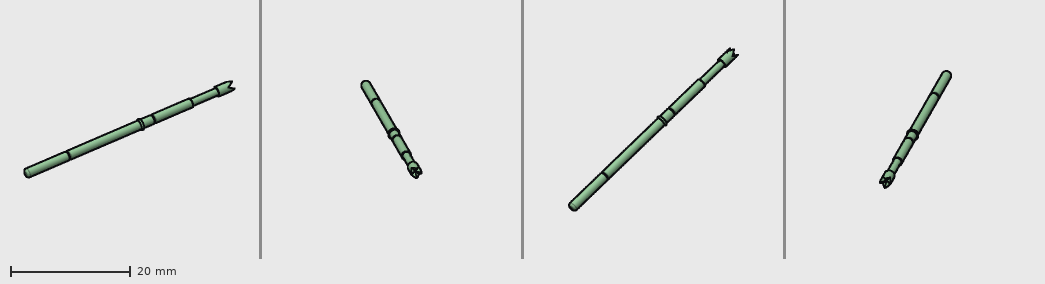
import cadquery as cq
import math

length = 40.0
y_rear = -length / 2
y_tip = length / 2

head_diameter = 1.8
plunger_diameter = 1.3
barrel_diameter = 1.65
collar_diameter = 2.0

head_length = 3.0
barrel_length = 32.0
rear_fillet = 0.45
collar_width = 0.5
collar_from_tip = 17.75

groove_width = 0.45
groove_floor_width = 0.1
groove_centres_from_tip = (15.35, 31.8)

crown_angle = 60.0

barrel_radius = barrel_diameter / 2
y_barrel_end = y_rear + barrel_length
y_head_start = y_tip - head_length


def rod(diameter, y_start, y_end):
    """Cylinder on the Y axis between two stations."""
    return cq.Workplane("XZ", origin=(0, y_end, 0)).circle(diameter / 2).extrude(y_end - y_start)


def add_groove(profile, from_tip):
    """Carry the barrel outline, running towards +Y, through one crimp groove."""
    y_centre = y_tip - from_tip
    half_width = groove_width / 2
    half_floor = groove_floor_width / 2
    wall_radius = half_width - half_floor
    floor_radius = barrel_radius - wall_radius
    return (
        profile.lineTo(barrel_radius, y_centre - half_width)
        .radiusArc((floor_radius, y_centre - half_floor), -wall_radius)
        .lineTo(floor_radius, y_centre + half_floor)
        .radiusArc((barrel_radius, y_centre + half_width), -wall_radius)
    )


def make_barrel():
    """Turned barrel with a rounded rear end and crimp grooves."""
    profile = (
        cq.Workplane("XY")
        .moveTo(0, y_rear)
        .lineTo(barrel_radius - rear_fillet, y_rear)
        .radiusArc((barrel_radius, y_rear + rear_fillet), -rear_fillet)
    )
    for from_tip in sorted(groove_centres_from_tip, reverse=True):
        profile = add_groove(profile, from_tip)
    profile = profile.lineTo(barrel_radius, y_barrel_end).lineTo(0, y_barrel_end).close()
    return profile.revolve(360, (0, 0, 0), (0, 1, 0))


def make_collar():
    """Press ring with a fully rounded rim."""
    half_width = collar_width / 2
    rim_radius = collar_diameter / 2
    shoulder_radius = rim_radius - half_width
    y_centre = y_tip - collar_from_tip
    return (
        cq.Workplane("XY")
        .moveTo(0, y_centre - half_width)
        .lineTo(shoulder_radius, y_centre - half_width)
        .threePointArc((rim_radius, y_centre), (shoulder_radius, y_centre + half_width))
        .lineTo(0, y_centre + half_width)
        .close()
        .revolve(360, (0, 0, 0), (0, 1, 0))
    )


def make_crown_cutter(roll):
    """V-shaped prism across the head, turned about the Y axis by roll degrees."""
    half_width = head_diameter / 2 * math.sin(math.radians(45))
    depth = half_width / math.tan(math.radians(crown_angle / 2))
    return (
        cq.Workplane("XY")
        .moveTo(0, y_tip - depth)
        .lineTo(half_width, y_tip)
        .lineTo(-half_width, y_tip)
        .close()
        .extrude(head_diameter, both=True)
        .rotate((0, 0, 0), (0, 1, 0), roll)
    )


plunger = rod(plunger_diameter, y_barrel_end, y_head_start)
head = rod(head_diameter, y_head_start, y_tip)
for roll in (45, 135):
    head = head.cut(make_crown_cutter(roll))

result = make_barrel().union(make_collar()).union(plunger).union(head)
result = cq.Workplane(result.solids().val())